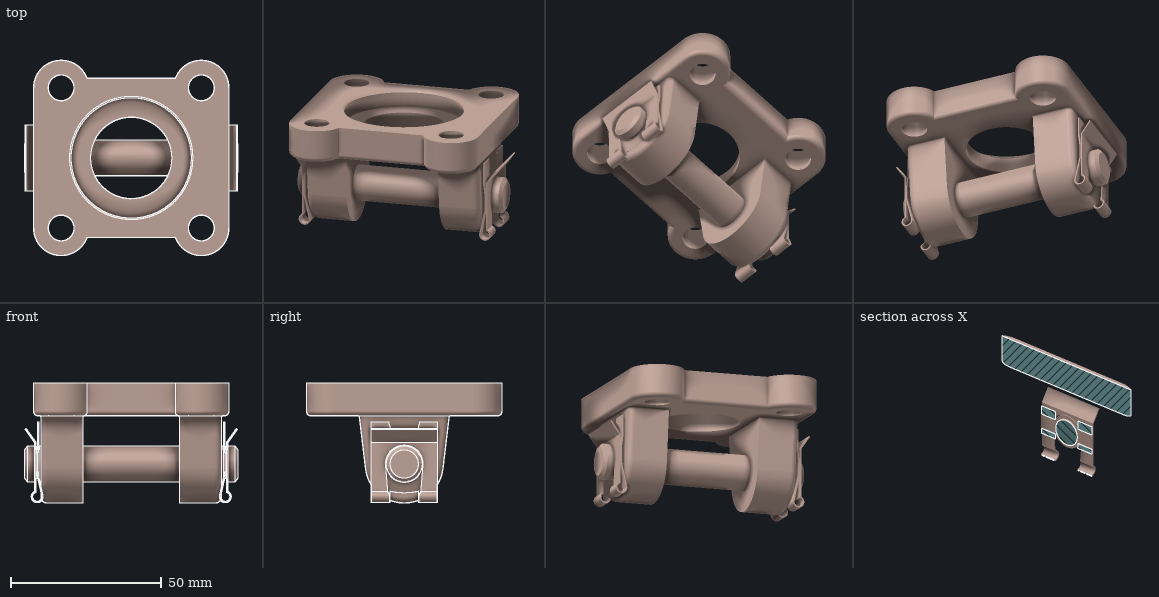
import cadquery as cq
import math

FLANGE_SIZE = 65.0
FLANGE_THICKNESS = 11.0
EAR_RADIUS = 9.2
EAR_OFFSET = FLANGE_SIZE / 2 - EAR_RADIUS
FLANGE_WAIST = 53.0
FLANGE_EDGE_RADIUS = 1.5
BOLT_HOLE_DIAMETER = 8.5
SEAT_DIAMETER = 40.0
SEAT_DEPTH = 5.5
SEAT_CHAMFER = 0.5
BORE_DIAMETER = 27.0

LUG_OUTER_X = 30.0
LUG_INNER_X = 16.0
LUG_TIP_RADIUS = 13.0
LUG_ROOT_HALF_WIDTH = 15.0
LUG_EDGE_RADIUS = 2.0
LUG_ROOT_RADIUS = 0.5

PIN_DIAMETER = 12.0
PIN_LENGTH = 71.0
PIN_Z = -27.0
PIN_CHAMFER_LENGTH = 1.0
PIN_CHAMFER_DEPTH = 1.3
GROOVE_DIAMETER = 9.5
GROOVE_OUTER_X = 31.7
GROOVE_INNER_X = 30.6

CLIP_WIDTH = 22.0
CLIP_THICKNESS = 0.45
OUTER_LEG_X = 31.95
FLARE_BEND_Z = -19.8
FLARE_TIP = (35.1, -15.35)
CURL_CENTRE_X = 31.28
CURL_CENTRE_Z = -37.9
CURL_RADIUS = 1.75
INNER_LEG_TILT = 12.5
INNER_LEG_WAIST_X = 31.45
INNER_LEG_WAIST_TOP_Z = -24.3
INNER_LEG_BEND_Z = -20.2
INNER_LEG_END = (30.9, -13.1)
KEYHOLE_RADIUS = 6.25
KEYHOLE_FOOT_HALF_WIDTH = 5.5
KEYHOLE_FOOT_Z = -36.1
FORK_HALF_WIDTH = 4.75
FORK_MOUTH_HALF_WIDTH = 5.0
FORK_MOUTH_DEPTH = 0.6
FORK_CLEARANCE = 0.1
TONGUE_CORNER_Z = -36.05
TONGUE_TIP_Z = -36.6

SIDES = (-1, 1)


def flange_plate(x_size, y_size):
    return cq.Workplane("XY").rect(x_size, y_size).extrude(-FLANGE_THICKNESS)


def make_flange():
    flange = flange_plate(2 * EAR_OFFSET, FLANGE_WAIST).union(flange_plate(FLANGE_SIZE, 2 * EAR_OFFSET))
    ears = (
        cq.Workplane("XY")
        .rect(2 * EAR_OFFSET, 2 * EAR_OFFSET, forConstruction=True)
        .vertices()
        .circle(EAR_RADIUS)
        .extrude(-FLANGE_THICKNESS)
    )
    flange = flange.union(ears).clean()
    return flange.faces("<Z").edges().fillet(FLANGE_EDGE_RADIUS)


def make_lug(side):
    """Tapered lug whose flanks run tangent into the round tip about the pin axis."""
    rise = -FLANGE_THICKNESS - PIN_Z
    root_distance = math.hypot(LUG_ROOT_HALF_WIDTH, rise)
    tangent_angle = math.atan2(rise, LUG_ROOT_HALF_WIDTH) - math.acos(LUG_TIP_RADIUS / root_distance)
    tangent_y = LUG_TIP_RADIUS * math.cos(tangent_angle)
    tangent_z = PIN_Z + LUG_TIP_RADIUS * math.sin(tangent_angle)
    lug = (
        cq.Workplane("YZ", origin=(LUG_INNER_X, 0, 0))
        .moveTo(-LUG_ROOT_HALF_WIDTH, -FLANGE_THICKNESS)
        .lineTo(-tangent_y, tangent_z)
        .threePointArc((0, PIN_Z - LUG_TIP_RADIUS), (tangent_y, tangent_z))
        .lineTo(LUG_ROOT_HALF_WIDTH, -FLANGE_THICKNESS)
        .close()
        .extrude(LUG_OUTER_X - LUG_INNER_X)
    )
    lug = lug.faces(">X").edges("not >Z").fillet(LUG_EDGE_RADIUS)
    return lug if side > 0 else lug.mirror("YZ")


def make_housing():
    housing = make_flange()
    for side in SIDES:
        housing = housing.union(make_lug(side))
    margin = 0.1
    root_box = cq.selectors.BoxSelector(
        (-LUG_OUTER_X - margin, -LUG_ROOT_HALF_WIDTH - margin, -FLANGE_THICKNESS - margin),
        (LUG_OUTER_X + margin, LUG_ROOT_HALF_WIDTH + margin, -FLANGE_THICKNESS + margin),
    )
    housing = housing.edges(root_box).fillet(LUG_ROOT_RADIUS)
    housing = (
        housing.faces(">Z").workplane(origin=(0, 0, 0)).circle(SEAT_DIAMETER / 2).cutBlind(-SEAT_DEPTH)
    )
    housing = housing.faces(">Z").edges(cq.selectors.RadiusNthSelector(-1)).chamfer(SEAT_CHAMFER)
    housing = housing.cut(
        cq.Workplane("XY").circle(BORE_DIAMETER / 2).extrude(-FLANGE_THICKNESS - LUG_ROOT_RADIUS)
    )
    bolt_holes = (
        cq.Workplane("XY")
        .rect(2 * EAR_OFFSET, 2 * EAR_OFFSET, forConstruction=True)
        .vertices()
        .circle(BOLT_HOLE_DIAMETER / 2)
        .extrude(-FLANGE_THICKNESS)
    )
    pin_hole = cq.Workplane("YZ").center(0, PIN_Z).circle(PIN_DIAMETER / 2).extrude(PIN_LENGTH / 2, both=True)
    return housing.cut(bolt_holes).cut(pin_hole)


def make_pin():
    half = PIN_LENGTH / 2
    radius = PIN_DIAMETER / 2
    groove = GROOVE_DIAMETER / 2
    end = radius - PIN_CHAMFER_DEPTH
    right_half = [
        (GROOVE_INNER_X, radius),
        (GROOVE_INNER_X, groove),
        (GROOVE_OUTER_X, groove),
        (GROOVE_OUTER_X, radius),
        (half - PIN_CHAMFER_LENGTH, radius),
        (half, end),
        (half, 0),
    ]
    left_half = [(-x, r) for x, r in reversed(right_half)]
    pin = cq.Workplane("XZ").polyline(left_half + right_half).close()
    return pin.revolve(360, (0, 0, 0), (1, 0, 0)).translate((0, 0, PIN_Z))


def sheet_edge(path, offset):
    """Points of a path moved sideways by offset, with mitred bends."""
    normals = []
    for (x0, z0), (x1, z1) in zip(path, path[1:]):
        length = math.hypot(x1 - x0, z1 - z0)
        normals.append(((z0 - z1) / length, (x1 - x0) / length))
    edge = []
    for i, (x, z) in enumerate(path):
        ax, az = normals[max(i - 1, 0)]
        bx, bz = normals[min(i, len(normals) - 1)]
        mitre = offset / (1 + ax * bx + az * bz)
        edge.append((x + mitre * (ax + bx), z + mitre * (az + bz)))
    return edge


def across_width(outline):
    """Extrude a closed XZ outline over the width of the clip."""
    return outline.extrude(CLIP_WIDTH / 2, both=True)


def bent_sheet(path):
    half = CLIP_THICKNESS / 2
    outline = sheet_edge(path, half) + sheet_edge(path, -half)[::-1]
    return across_width(cq.Workplane("XZ").polyline(outline).close())


def curl_join():
    """Point where the inner leg runs tangent into the curl."""
    tilt = math.radians(INNER_LEG_TILT)
    return (CURL_CENTRE_X - CURL_RADIUS * math.cos(tilt), CURL_CENTRE_Z + CURL_RADIUS * math.sin(tilt))


def make_curl():
    ring = (
        cq.Workplane("XZ", origin=(CURL_CENTRE_X, 0, CURL_CENTRE_Z))
        .circle(CURL_RADIUS + CLIP_THICKNESS / 2)
        .circle(CURL_RADIUS - CLIP_THICKNESS / 2)
    )
    join_x, join_z = curl_join()
    leg_face_x = OUTER_LEG_X - CLIP_THICKNESS / 2
    above_curl_z = CURL_CENTRE_Z + 2 * CURL_RADIUS
    opening = (
        cq.Workplane("XZ")
        .moveTo(CURL_CENTRE_X, CURL_CENTRE_Z)
        .lineTo(2 * join_x - CURL_CENTRE_X, 2 * join_z - CURL_CENTRE_Z)
        .lineTo(2 * join_x - CURL_CENTRE_X, above_curl_z)
        .lineTo(leg_face_x, above_curl_z)
        .lineTo(leg_face_x, CURL_CENTRE_Z)
        .close()
    )
    return across_width(ring).cut(across_width(opening))


def make_outer_leg():
    foot_z = CURL_CENTRE_Z + math.sqrt(CURL_RADIUS**2 - (OUTER_LEG_X - CURL_CENTRE_X) ** 2)
    return bent_sheet([(OUTER_LEG_X, foot_z), (OUTER_LEG_X, FLARE_BEND_Z), FLARE_TIP])


def make_inner_leg():
    join_x, join_z = curl_join()
    tilt_rise = (INNER_LEG_WAIST_X - join_x) / math.tan(math.radians(INNER_LEG_TILT))
    return bent_sheet(
        [
            (join_x, join_z),
            (INNER_LEG_WAIST_X, join_z + tilt_rise),
            (INNER_LEG_WAIST_X, INNER_LEG_WAIST_TOP_Z),
            (INNER_LEG_END[0], INNER_LEG_BEND_Z),
            INNER_LEG_END,
        ]
    )


def make_keyhole():
    """Hole over the pin with a slot that narrows down to the curl, in the outer leg only."""
    start_x = OUTER_LEG_X - CLIP_THICKNESS / 2
    depth = CURL_RADIUS + CLIP_THICKNESS
    slot = (
        cq.Workplane("YZ", origin=(start_x, 0, 0))
        .moveTo(-KEYHOLE_RADIUS, PIN_Z)
        .lineTo(-KEYHOLE_FOOT_HALF_WIDTH, KEYHOLE_FOOT_Z)
        .lineTo(-FORK_HALF_WIDTH, CURL_CENTRE_Z)
        .lineTo(FORK_HALF_WIDTH, CURL_CENTRE_Z)
        .lineTo(KEYHOLE_FOOT_HALF_WIDTH, KEYHOLE_FOOT_Z)
        .lineTo(KEYHOLE_RADIUS, PIN_Z)
        .close()
        .extrude(depth)
    )
    hole = cq.Workplane("YZ", origin=(start_x, 0, PIN_Z)).circle(KEYHOLE_RADIUS).extrude(depth)
    return hole.union(slot)


def make_fork_slot():
    """Slot that opens at the top of the inner leg and straddles the groove of the pin."""
    end_z = INNER_LEG_END[1]
    foot_radius = PIN_DIAMETER / 2 + FORK_CLEARANCE
    foot_corner_z = PIN_Z - math.sqrt(foot_radius**2 - FORK_HALF_WIDTH**2)
    slot = (
        cq.Workplane("YZ", origin=(LUG_OUTER_X, 0, 0))
        .moveTo(-FORK_HALF_WIDTH, foot_corner_z)
        .threePointArc((0, PIN_Z - foot_radius), (FORK_HALF_WIDTH, foot_corner_z))
        .lineTo(FORK_HALF_WIDTH, end_z - 2 * FORK_MOUTH_DEPTH)
        .lineTo(FORK_MOUTH_HALF_WIDTH, end_z - FORK_MOUTH_DEPTH)
        .lineTo(FORK_MOUTH_HALF_WIDTH, end_z)
        .lineTo(-FORK_MOUTH_HALF_WIDTH, end_z)
        .lineTo(-FORK_MOUTH_HALF_WIDTH, end_z - FORK_MOUTH_DEPTH)
        .lineTo(-FORK_HALF_WIDTH, end_z - 2 * FORK_MOUTH_DEPTH)
        .close()
    )
    return slot.extrude(OUTER_LEG_X - CLIP_THICKNESS / 2 - LUG_OUTER_X)


def make_curl_slot():
    """Gap through the curl, which leaves a tongue with a rounded tip on the inner leg."""
    bottom_z = CURL_CENTRE_Z - 2 * CURL_RADIUS
    gap = (
        cq.Workplane("YZ", origin=(CURL_CENTRE_X - 2 * CURL_RADIUS, 0, 0))
        .moveTo(-FORK_HALF_WIDTH, bottom_z)
        .lineTo(-FORK_HALF_WIDTH, TONGUE_CORNER_Z)
        .threePointArc((0, TONGUE_TIP_Z), (FORK_HALF_WIDTH, TONGUE_CORNER_Z))
        .lineTo(FORK_HALF_WIDTH, bottom_z)
        .close()
    )
    return gap.extrude(4 * CURL_RADIUS)


def make_clip(side):
    clip = make_outer_leg().union(make_curl()).union(make_inner_leg())
    clip = clip.cut(make_keyhole()).cut(make_fork_slot()).cut(make_curl_slot())
    return clip if side > 0 else clip.mirror("YZ")


pin = make_pin()
clips = [make_clip(side) for side in SIDES]

housing = make_housing()
for clip in clips:
    housing = housing.cut(clip)

result = cq.Compound.makeCompound([housing.val(), pin.val(), *[clip.val() for clip in clips]])